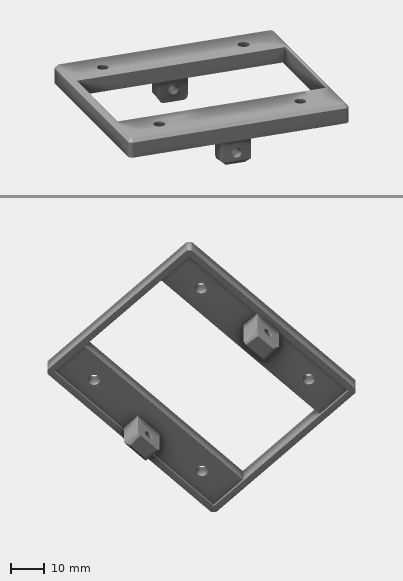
import cadquery as cq

frame_width = 62.0
frame_length = 72.0
frame_height = 6.0
total_height = 15.0
edge_chamfer = 1.0

window_width = 33.0
window_length = 68.0

rim_thickness = (frame_length - window_length) / 2
recess_depth = 1.0

mounting_hole_spacing = 46.0
mounting_hole_diameter = 3.6

lug_thickness = 6.0
lug_width = 9.3
lug_inset = 2.3
lug_height = total_height - frame_height
lug_tip_height = 1.45
lug_outer_bevel = 1.2
lug_outer_side_taper = 1.5
lug_inner_side_taper = 1.15
lug_round_inset = 0.4
lug_hole_diameter = 3.2
lug_hole_depth_below_frame = 5.05


def make_frame():
    """Plate with bevelled corners and top edges, resting on Z = 0, with a window and recess."""
    plate = (
        cq.Workplane("XY")
        .box(frame_width, frame_length, frame_height, centered=(True, True, False))
        .edges("|Z")
        .chamfer(edge_chamfer)
        .faces(">Z")
        .chamfer(edge_chamfer)
    )
    window = cq.Workplane("XY").rect(window_width, window_length).extrude(frame_height)
    recess = (
        cq.Workplane("XY")
        .rect(frame_width - 2 * rim_thickness, frame_length - 2 * rim_thickness)
        .extrude(recess_depth)
    )
    return plate.cut(window).cut(recess)


def make_mounting_holes():
    """Vertical cylinders through the two wide rails."""
    return (
        cq.Workplane("XY")
        .rect(mounting_hole_spacing, mounting_hole_spacing, forConstruction=True)
        .vertices()
        .circle(mounting_hole_diameter / 2)
        .extrude(frame_height)
    )


def make_lug_tip(outer_x, inner_x):
    """Tapered end of a lug: bevelled on the outside, its sides blending to rounds on the inside."""
    half_width = lug_width / 2
    outer_half_bottom = half_width - lug_outer_side_taper
    inner_half_bottom = half_width - lug_inner_side_taper
    bottom_z = -lug_height
    top_z = bottom_z + lug_tip_height
    bevel_x = outer_x + lug_outer_bevel

    def inner_point(y, z):
        return cq.Vector(inner_x, y, z)

    def rounded_corner(side):
        return cq.Edge.makeThreePointArc(
            inner_point(side * half_width, top_z),
            inner_point(side * (half_width - lug_round_inset), bottom_z + lug_round_inset),
            inner_point(side * inner_half_bottom, bottom_z),
        )

    bevel_face_outline = cq.Wire.makePolygon(
        [
            cq.Vector(outer_x, -half_width, top_z),
            cq.Vector(bevel_x, -outer_half_bottom, bottom_z),
            cq.Vector(bevel_x, outer_half_bottom, bottom_z),
            cq.Vector(outer_x, half_width, top_z),
        ],
        close=True,
    )
    inner_face_outline = cq.Wire.assembleEdges(
        [
            rounded_corner(-1),
            cq.Edge.makeLine(
                inner_point(-inner_half_bottom, bottom_z),
                inner_point(inner_half_bottom, bottom_z),
            ),
            rounded_corner(1),
            cq.Edge.makeLine(inner_point(half_width, top_z), inner_point(-half_width, top_z)),
        ]
    )
    return cq.Solid.makeLoft([bevel_face_outline, inner_face_outline], True)


def make_left_lug():
    """Lug rising from its tapered tip into the left rail, with a cross hole along X."""
    outer_x = -frame_width / 2 + lug_inset
    inner_x = outer_x + lug_thickness
    block_height = lug_height - lug_tip_height + recess_depth
    block = (
        cq.Workplane("XY", origin=(outer_x, 0, recess_depth - block_height))
        .box(lug_thickness, lug_width, block_height, centered=(False, True, False))
    )
    cross_hole = (
        cq.Workplane("YZ", origin=(outer_x, 0, -lug_hole_depth_below_frame))
        .circle(lug_hole_diameter / 2)
        .extrude(lug_thickness)
    )
    return block.union(cq.Workplane(make_lug_tip(outer_x, inner_x))).cut(cross_hole)


left_lug = make_left_lug()
right_lug = left_lug.mirror("YZ")
result = make_frame().cut(make_mounting_holes()).union(left_lug).union(right_lug)